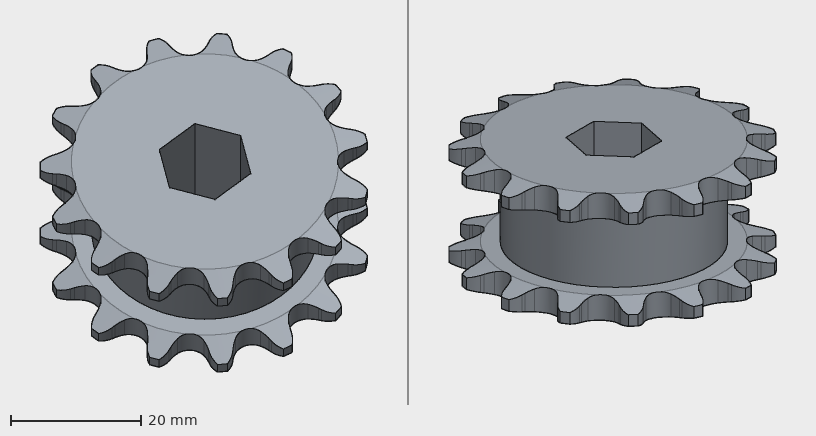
import cadquery as cq
import math


teeth = 15
chain_pitch = 9.55
roller_diameter = 5.1
overall_height = 21.35
plate_thickness = 4.3
tip_thickness = 1.95
face_radius = 20.45
hub_radius = 17.45
hex_across_flats = 12.75
cutter_overlap = 0.5

seat_ratio = 1.005
seat_clearance = 0.075
addendum_ratio = 0.6
flank_offset_ratio = 0.8
tip_offset_ratio = 1.4
seat_radius = (seat_ratio * roller_diameter + seat_clearance) / 2
seat_angle = math.radians(35 + 60 / teeth)
flank_angle = math.radians(18 - 56 / teeth)
tip_angle = math.radians(17 - 64 / teeth)
flank_offset = flank_offset_ratio * roller_diameter
flank_radius = flank_offset + seat_radius
tip_offset = tip_offset_ratio * roller_diameter
tip_curve_radius = (
    flank_offset * math.cos(flank_angle)
    + tip_offset * math.cos(tip_angle)
    - flank_radius
)

quarter_turn = math.pi / 2
half_step = math.pi / teeth
pitch_radius = chain_pitch / (2 * math.sin(half_step))
outside_radius = chain_pitch * (addendum_ratio + 1 / math.tan(half_step)) / 2
cutter_radius = outside_radius + cutter_overlap


def polar(center, radius, angle):
    """Point at a radius and angle from a center."""
    return (center[0] + radius * math.cos(angle), center[1] + radius * math.sin(angle))


def mirrored(point):
    """The same point on the other side of the X axis."""
    return (point[0], -point[1])


def tooth_gap():
    """Cutter for the space between two teeth, centered on +X."""
    roller_center = (pitch_radius, 0)
    root = (pitch_radius - seat_radius, 0)

    flank_start_angle = quarter_turn + seat_angle
    flank_end_angle = flank_start_angle - flank_angle
    seat_end = polar(roller_center, seat_radius, flank_start_angle)
    flank_center = polar(roller_center, -flank_offset, flank_start_angle)
    flank_middle = polar(flank_center, flank_radius, (flank_start_angle + flank_end_angle) / 2)
    flank_end = polar(flank_center, flank_radius, flank_end_angle)

    tip_center = polar(roller_center, tip_offset, quarter_turn + half_step)
    tip_start_angle = flank_end_angle + math.pi
    tip_start = polar(tip_center, tip_curve_radius, tip_start_angle)

    center_distance = math.hypot(*tip_center)
    center_angle = math.atan2(tip_center[1], tip_center[0])
    cosine = (cutter_radius**2 - center_distance**2 - tip_curve_radius**2) / (
        2 * center_distance * tip_curve_radius
    )
    tip_end_angle = center_angle - math.acos(cosine) + 2 * math.pi
    tip_middle = polar(tip_center, tip_curve_radius, (tip_start_angle + tip_end_angle) / 2)
    tip_end = polar(tip_center, tip_curve_radius, tip_end_angle)

    return (
        cq.Workplane("XY")
        .moveTo(*tip_end)
        .threePointArc(tip_middle, tip_start)
        .lineTo(*flank_end)
        .threePointArc(flank_middle, seat_end)
        .threePointArc(root, mirrored(seat_end))
        .threePointArc(mirrored(flank_middle), mirrored(flank_end))
        .lineTo(*mirrored(tip_start))
        .threePointArc(mirrored(tip_middle), mirrored(tip_end))
        .threePointArc((cutter_radius, 0), tip_end)
        .close()
        .extrude(plate_thickness)
    )


def toothed_plate():
    """One sprocket plate, tapered on both faces from the tooth roots to the tips."""
    taper = (plate_thickness - tip_thickness) / 2
    plate = (
        cq.Workplane("XZ")
        .polyline(
            [
                (0, 0),
                (face_radius, 0),
                (outside_radius, taper),
                (outside_radius, plate_thickness - taper),
                (face_radius, plate_thickness),
                (0, plate_thickness),
            ]
        )
        .close()
        .revolve(360, (0, 0), (0, 1))
    )
    gap = tooth_gap()
    for index in range(teeth):
        plate = plate.cut(gap.rotate((0, 0, 0), (0, 0, 1), index * 360 / teeth))
    return plate


lower_plate = toothed_plate()
upper_plate = lower_plate.translate((0, 0, overall_height - plate_thickness))
hub = cq.Workplane("XY").circle(hub_radius).extrude(overall_height)

hex_across_corners = hex_across_flats / math.cos(math.radians(30))
bore = (
    cq.Workplane("XY")
    .transformed(rotate=(0, 0, 90))
    .polygon(6, hex_across_corners)
    .extrude(overall_height)
)

result = hub.union(lower_plate).union(upper_plate).cut(bore)